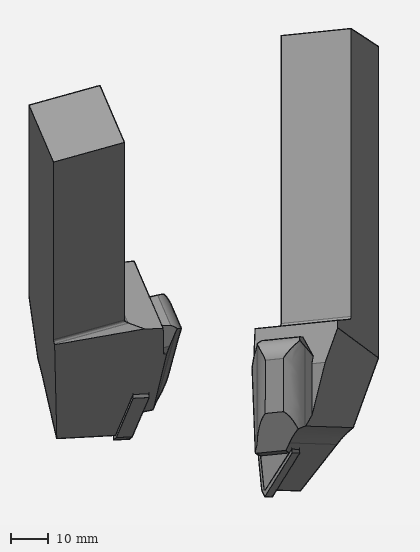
import cadquery as cq

total_height = 126.4
shank_size = 20.0
shank_base = 46.4

head_depth = 29.6
head_back_top = 43.7
seat_break = 32.5
clamp_reach = 44.2
sweep_x_slope = 0.1
sweep_z_slope = -0.224
flank_slope = 0.045
flank_x_at_ledge = 20.8
left_corner_z = 40.7
nose_left = (7.2, 22.2)
nose_bend = (9.9, 20.2)
nose_lower = (11.9, 18.1)
nose_tip_z = 6.3
ledge_slope = 0.4
shoulder_fillet = 1.0
tip_flat = 0.4

seat_back_low = (25.5, 16.9)
insert_top_rear = (23.2, 10.4)

clamp_lean = 0.25
clamp_drift = 0.1
clamp_heel = (32.9, 39.3)
clamp_crown = (35.5, 36.9)
clamp_top_rear = (36.4, 32.5)
clamp_low_rear = (33.1, 19.2)
clamp_toe = (26.2, 10.4)
clamp_left_root_x = 4.5
clamp_left_arc = [(7.6, 33.9), (9.1, 36.6), (12.0, 38.4)]
clamp_right_arc = [(17.2, 38.4), (19.2, 37.1), (21.0, 34.7)]
clamp_right_root = (24.8, 31.0)
clamp_top_z = 40.7
clamp_root_y = 27.0
clamp_front = [
    (0, 0),
    (0, 21.5),
    (10.5, 41.1),
    (19.0, 41.1),
    (23.4, 34.7),
    (37.9, 0),
]

insert_tip = (22.7, 4.4)
insert_flank_x = 23.4
insert_flank_z = 6.3
insert_edge_length = 16.2
insert_side_corner = (13.3, 15.5)
insert_thickness_y = 4.7
insert_tip_back_y = 19.7
insert_lean = 0.32
insert_below = 1.3

trim_width = 50.5


def sweep_from_front(outline, depth):
    """Sweep a closed XZ outline from the front plane along the inclined direction."""
    direction = cq.Vector(sweep_x_slope, 1, sweep_z_slope) * depth
    return cq.Workplane(cq.Solid.extrudeLinear(outline.val(), [], direction))


def side_slab(points):
    """Extrude a YZ outline across the full width of the part."""
    return cq.Workplane("YZ").polyline(points).close().extrude(trim_width)


def flank_x(z):
    return flank_x_at_ledge + flank_slope * (shank_base - z)


def left_face_x(z):
    return nose_left[0] * (left_corner_z - z) / (left_corner_z - nose_left[1])


def make_outer_sweep():
    """Head outline with the raked left face, bent nose edge and right flank."""
    sweep_top = shank_base + head_depth
    outline = (
        cq.Workplane("XZ")
        .moveTo(left_face_x(sweep_top), sweep_top)
        .lineTo(*nose_left)
        .threePointArc(nose_bend, nose_lower)
        .lineTo(flank_x(nose_tip_z) - tip_flat, nose_tip_z)
        .lineTo(flank_x(nose_tip_z), nose_tip_z)
        .lineTo(flank_x(sweep_top), sweep_top)
        .close()
    )
    return sweep_from_front(outline, clamp_reach)


def make_shank():
    base = cq.Workplane("XY", origin=(0, 0, shank_base))
    return base.rect(shank_size, shank_size, centered=False).extrude(total_height - shank_base)


def make_head(outer_sweep):
    """Side outline trimmed by the outer sweep and the sloping ledge beside the shank."""
    side = side_slab([
        (0, shank_base),
        (shank_size, shank_base),
        (head_depth, head_back_top),
        (head_depth, seat_break),
        seat_back_low,
        insert_top_rear,
        (insert_tip_back_y, 0),
        (0, 0),
    ])
    ledge_end = shank_size + shank_base / ledge_slope
    below_ledge = (
        cq.Workplane("XZ")
        .polyline([(0, 0), (0, shank_base), (shank_size, shank_base), (ledge_end, 0)])
        .close()
        .extrude(-head_depth)
    )
    return side.intersect(below_ledge).intersect(outer_sweep)


def round_shoulder(body):
    """Fillet the inner corners where the shank meets the head ledges."""
    margin = 0.1
    inner = cq.selectors.BoxSelector(
        (shank_size / 2 - margin, shank_size / 2 - margin, shank_base - margin),
        (shank_size + margin, shank_size + margin, shank_base + margin),
    )
    return body.edges(inner).fillet(shoulder_fillet)


def make_clamp(outer_sweep):
    """Tapered clamp boss on the leaning back face of the head."""
    side = (
        cq.Workplane("YZ")
        .moveTo(clamp_root_y, clamp_top_z)
        .lineTo(*clamp_heel)
        .threePointArc(clamp_crown, clamp_top_rear)
        .lineTo(*clamp_low_rear)
        .lineTo(*clamp_toe)
        .lineTo(*insert_top_rear)
        .lineTo(*seat_back_low)
        .lineTo(clamp_root_y, seat_break)
        .close()
        .extrude(trim_width)
    )
    taper_outline = (
        cq.Workplane("XY", origin=(0, 0, clamp_top_z))
        .moveTo(clamp_left_root_x, clamp_root_y)
        .lineTo(*clamp_left_arc[0])
        .threePointArc(*clamp_left_arc[1:])
        .lineTo(*clamp_right_arc[0])
        .threePointArc(*clamp_right_arc[1:])
        .lineTo(*clamp_right_root)
        .lineTo(clamp_right_root[0], clamp_root_y)
        .close()
    )
    drop = cq.Vector(clamp_drift, -clamp_lean, -1) * clamp_top_z
    taper = cq.Workplane(cq.Solid.extrudeLinear(taper_outline.val(), [], drop))
    corner_cuts = cq.Workplane("XZ").polyline(clamp_front).close().extrude(-clamp_reach)
    return side.intersect(taper).intersect(corner_cuts).intersect(outer_sweep)


def make_insert():
    """Parallelogram plate leaning with the seat, its tip at the lowest point of the part."""
    edge_top = (insert_flank_x - flank_slope * insert_edge_length, insert_flank_z + insert_edge_length)
    outline = (
        cq.Workplane("XZ")
        .polyline([
            insert_tip,
            (insert_flank_x, insert_flank_z),
            edge_top,
            (insert_side_corner[0] + edge_top[0] - insert_flank_x, insert_side_corner[1] + insert_edge_length),
            insert_side_corner,
        ])
        .close()
    )
    prism = sweep_from_front(outline, clamp_reach)
    bottom_z = -insert_below
    top_z = insert_edge_length + insert_flank_z
    back_bottom = insert_tip_back_y + insert_lean * bottom_z
    back_top = insert_tip_back_y + insert_lean * top_z
    slab = side_slab([
        (back_bottom, bottom_z),
        (back_top, top_z),
        (back_top - insert_thickness_y, top_z),
        (back_bottom - insert_thickness_y, bottom_z),
    ])
    return prism.intersect(slab)


outer_sweep = make_outer_sweep()
insert = make_insert()
holder = round_shoulder(make_shank().union(make_head(outer_sweep)))
holder = holder.union(make_clamp(outer_sweep)).cut(insert)

result = cq.Compound.makeCompound([*holder.vals(), insert.val()])